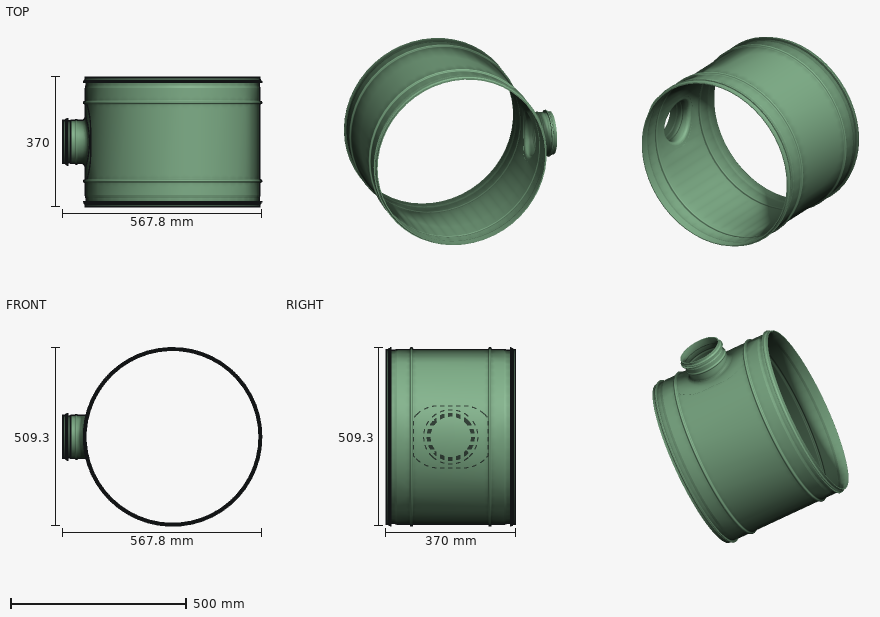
import cadquery as cq
import math

main_diameter = 498.5
main_length = 370.0
branch_diameter = 124.0
branch_reach = 313.1
wall = 0.5

groove_depth = 1.5
main_step_top = 25.0
main_step_foot = 32.5
branch_step_top = 20.5
branch_step_foot = 24.0

rim_depth = 3.0
rim_thickness = 1.5
hem_length = 6.0
hem_wall = 0.85

short_lip_tip = 9.5
short_lip_back = 11.0
short_lip_height = 3.0
tall_lip_front = 13.0
tall_lip_back = 15.5
tall_lip_height = 5.4

main_bead_setback = 73.0
main_bead_half_width = 6.0
main_bead_height = 5.4
branch_bead_setback = 39.0
branch_bead_half_width = 4.5
branch_bead_height = 2.0

saddle_height = 177.0
saddle_flat = 71.5
saddle_fillet = 9.0
main_opening_diameter = 154.5

main_radius = main_diameter / 2
branch_radius = branch_diameter / 2
branch_bore_radius = branch_radius - wall
main_end = main_length / 2
main_bead_foot = main_end - main_bead_setback - main_bead_half_width
branch_bead_foot = branch_reach - branch_bead_setback - branch_bead_half_width
saddle_width = 2 * main_bead_foot


def turned(outline):
    """Revolve a closed outline, drawn with X as the radius, about the Y axis."""
    return outline.close().revolve(360, (0, 0, 0), (0, 1, 0))


def cylinder(radius, length):
    """Solid cylinder along Y, centred on the origin."""
    return cq.Workplane("XZ").circle(radius).extrude(length / 2, both=True)


def socket_end(radius, end, step_top, step_foot, bead_setback, bead_half_width, bead_height):
    """Sheet from the inner foot of the stop bead to the rolled rim."""
    bead_middle = end - bead_setback
    bead_start = bead_middle - bead_half_width
    bead_stop = bead_middle + bead_half_width

    arc_radius = (bead_half_width**2 + bead_height**2) / (4 * bead_height)
    turn_angle = math.asin(bead_half_width / 2 / arc_radius)
    outer_bend_radius = radius + bead_height / 2
    outer_bend = bead_half_width / 2
    inner_bend_radius = outer_bend_radius - wall * math.cos(turn_angle)
    inner_bend = outer_bend - wall * math.sin(turn_angle)

    inside = radius - wall
    groove = radius - groove_depth
    groove_inside = groove - wall
    under_hem = radius - hem_wall
    rim_inside = radius - rim_depth
    rim_back = end - rim_thickness

    return turned(
        cq.Workplane("XY")
        .moveTo(radius, bead_start)
        .threePointArc(
            (
                radius + arc_radius * (1 - math.cos(turn_angle / 2)),
                bead_start + arc_radius * math.sin(turn_angle / 2),
            ),
            (outer_bend_radius, bead_middle - outer_bend),
        )
        .tangentArcPoint((outer_bend_radius, bead_middle + outer_bend), relative=False)
        .tangentArcPoint((radius, bead_stop), relative=False)
        .lineTo(radius, end - step_foot)
        .lineTo(groove, end - step_top)
        .lineTo(groove, rim_back)
        .lineTo(under_hem, rim_back)
        .lineTo(under_hem, end - hem_length)
        .lineTo(radius, end - hem_length)
        .lineTo(radius, end)
        .lineTo(rim_inside, end)
        .lineTo(rim_inside, rim_back)
        .lineTo(groove_inside, rim_back)
        .lineTo(groove_inside, end - step_top)
        .lineTo(inside, end - step_foot)
        .lineTo(inside, bead_stop)
        .tangentArcPoint((inner_bend_radius, bead_middle + inner_bend), relative=False)
        .tangentArcPoint((inner_bend_radius, bead_middle - inner_bend), relative=False)
        .tangentArcPoint((inside, bead_start), relative=False)
    )


def seal(radius, end):
    """Seal ring held under the hem, with a short slanted lip and a tall lip."""
    groove = radius - groove_depth
    under_hem = radius - hem_wall
    short_lip = radius + short_lip_height
    tall_lip = radius + tall_lip_height
    return turned(
        cq.Workplane("XY").polyline([
            (groove, end - rim_thickness),
            (under_hem, end - rim_thickness),
            (under_hem, end - hem_length),
            (radius, end - hem_length),
            (short_lip, end - short_lip_tip),
            (short_lip, end - short_lip_back),
            (radius, end - short_lip_back),
            (radius, end - tall_lip_front),
            (tall_lip, end - tall_lip_front),
            (tall_lip, end - tall_lip_back),
            (groove, end - tall_lip_back),
        ])
    )


def to_far_end(shape):
    """Mirror a part from the +Y end to the -Y end."""
    return shape.mirror("XZ")


def to_branch(shape):
    """Turn a part made along +Y so that it points along -X."""
    return shape.rotate((0, 0, 0), (0, 0, 1), 90)


def branch_rod(radius, reach):
    """Solid cylinder from the main axis along the branch."""
    return cq.Workplane("YZ").circle(radius).extrude(-reach)


def make_main_pipe():
    pipe_end = socket_end(
        main_radius, main_end, main_step_top, main_step_foot,
        main_bead_setback, main_bead_half_width, main_bead_height,
    )
    middle = cylinder(main_radius, saddle_width).cut(cylinder(main_radius - wall, saddle_width))
    opening = branch_rod(main_opening_diameter / 2, branch_reach)
    return middle.cut(opening).union(pipe_end).union(to_far_end(pipe_end))


def flared_tee(pipe_radius, rod_radius, fillet_radius):
    """Solid pipe and branch rod, filleted where they meet."""
    tee = cylinder(pipe_radius, main_length).union(branch_rod(rod_radius, branch_bead_foot))
    return tee.edges("%BSPLINE").fillet(fillet_radius)


def make_branch():
    plate_outline = (
        cq.Workplane("YZ")
        .slot2D(saddle_flat + saddle_height, saddle_height)
        .extrude(-branch_reach)
    )
    plate_ends = cq.Workplane("YZ").rect(saddle_width, saddle_height).extrude(-branch_reach)
    saddle = (
        flared_tee(main_radius + wall, branch_radius, saddle_fillet)
        .cut(flared_tee(main_radius, branch_bore_radius, saddle_fillet + wall))
        .intersect(plate_outline)
        .intersect(plate_ends)
    )
    branch_end = socket_end(
        branch_radius, branch_reach, branch_step_top, branch_step_foot,
        branch_bead_setback, branch_bead_half_width, branch_bead_height,
    )
    return saddle.union(to_branch(branch_end))


main_pipe = make_main_pipe()
branch = make_branch()
far_side_seal = seal(main_radius, main_end)
main_seals = [far_side_seal, to_far_end(far_side_seal)]
branch_seal = to_branch(seal(branch_radius, branch_reach))

result = cq.Compound.makeCompound(
    [main_pipe.val(), branch.val(), *[ring.val() for ring in main_seals], branch_seal.val()]
)